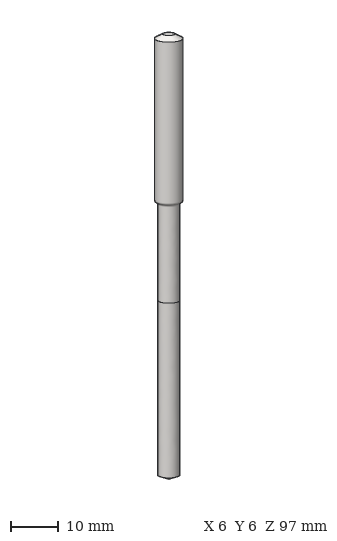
import cadquery as cq

total_length = 97.0
shank_diameter = 6.0
shank_length = 36.1
shoulder_height = 1.1
top_flat_diameter = 2.6
top_chamfer_height = 1.0
neck_diameter = 4.7
neck_taper = 0.02
tip_length = 39.0
tip_taper = 0.024
point_height = 1.0

shank_radius = shank_diameter / 2
joint_radius = neck_diameter / 2
neck_top_radius = joint_radius - neck_taper
tip_radius = joint_radius + tip_taper
shank_bottom = total_length - shank_length
shoulder_bottom = shank_bottom - shoulder_height
chamfer_bottom = total_length - top_chamfer_height

shoulder_middle = (
    (shank_radius + neck_top_radius) / 2,
    (shank_bottom + shoulder_bottom) / 2,
)


def revolve_about_z(outline):
    """Revolve a closed (radius, height) outline a full turn about Z."""
    return outline.revolve(360, (0, 0), (0, 1))


def make_holder():
    """Chamfered shank with an S-shaped shoulder and a slimmer neck below it."""
    outline = (
        cq.Workplane("XZ")
        .moveTo(0, total_length)
        .lineTo(top_flat_diameter / 2, total_length)
        .lineTo(shank_radius, chamfer_bottom)
        .lineTo(shank_radius, shank_bottom)
        .tangentArcPoint(shoulder_middle, relative=False)
        .tangentArcPoint((neck_top_radius, shoulder_bottom), relative=False)
        .lineTo(joint_radius, tip_length)
        .lineTo(0, tip_length)
        .close()
    )
    return revolve_about_z(outline)


def make_cutting_tip():
    """Slightly tapered tip, widest at its lower end, with a conical drill point."""
    outline = (
        cq.Workplane("XZ")
        .lineTo(tip_radius, point_height)
        .lineTo(joint_radius, tip_length)
        .lineTo(0, tip_length)
        .close()
    )
    return revolve_about_z(outline)


holder = make_holder()
cutting_tip = make_cutting_tip()

result = cq.Compound.makeCompound([holder.val(), cutting_tip.val()])